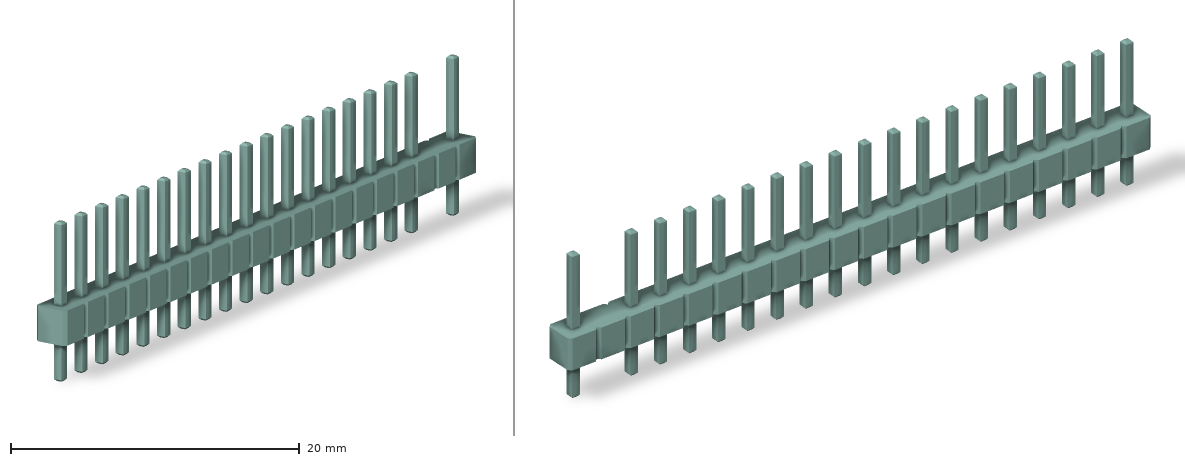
import cadquery as cq


cell_count = 20
body_length = 50.8
pitch = body_length / cell_count
body_width = pitch
body_height = pitch
cell_chamfer = 0.25

pin_width = 0.65
pin_above_body = 6.0
pin_below_body = 3.0
pin_tip_chamfer = 0.15
empty_cells = [cell_count - 2]

pin_length = pin_below_body + body_height + pin_above_body


def cell_center(index):
    """Y position of the middle of a cell, with the row centred on Y = 0."""
    return (index + 0.5) * pitch - body_length / 2


def make_body():
    """Row of cells whose chamfered corners meet as V-notches between neighbours."""
    right_side = []
    for index in range(cell_count):
        start = cell_center(index) - pitch / 2
        end = start + pitch
        right_side.append((body_width / 2 - cell_chamfer, start))
        right_side.append((body_width / 2, start + cell_chamfer))
        right_side.append((body_width / 2, end - cell_chamfer))
    right_side.append((body_width / 2 - cell_chamfer, body_length / 2))

    left_side = [(-x, y) for x, y in reversed(right_side)]
    return cq.Workplane("XY").polyline(right_side + left_side).close().extrude(body_height)


def make_pin(index):
    """Square pin through the middle of a cell, tapered at both tips."""
    return (
        cq.Workplane("XY", origin=(0, cell_center(index), -pin_below_body))
        .rect(pin_width, pin_width)
        .extrude(pin_length)
        .faces("<Z or >Z")
        .chamfer(pin_tip_chamfer)
    )


result = make_body()
for cell in range(cell_count):
    if cell not in empty_cells:
        result = result.union(make_pin(cell))